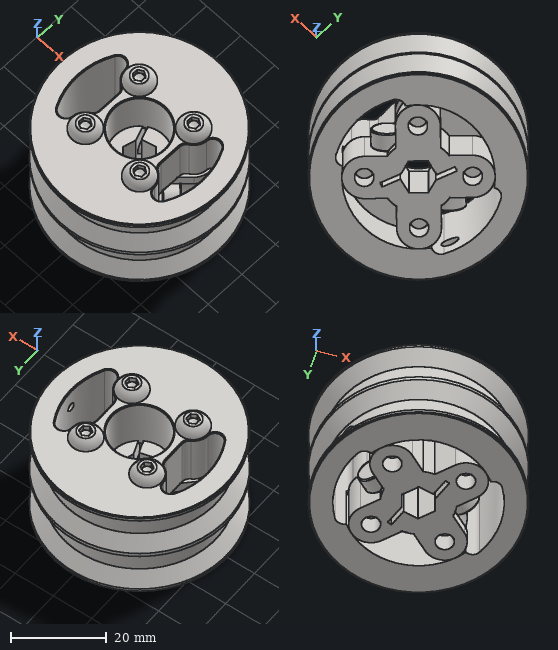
import cadquery as cq
import math

HEXAGON_CORNER_RATIO = 2 / math.sqrt(3)

RIM_RADIUS = 23.0
GROOVE_RADIUS = 20.0
RIM_WIDTH = 1.0
SPOOL_HEIGHT = 25.0
GROOVE_COUNT = 2
GROOVE_PITCH = (SPOOL_HEIGHT - RIM_WIDTH) / GROOVE_COUNT
FLANK_HEIGHT = RIM_RADIUS - GROOVE_RADIUS
GROOVE_FLAT = GROOVE_PITCH - RIM_WIDTH - 2 * FLANK_HEIGHT
EDGE_CHAMFER = 0.25
BORE_DIAMETER = 14.3

SCREW_OFFSET = 8.0
SCREW_CIRCLE = SCREW_OFFSET * math.sqrt(2)
SCREW_ANGLES = (45, 135, 225, 315)
SCREW_DIAMETER = 4.0
CLEARANCE_DIAMETER = 4.3
SCREW_LENGTH = 20.0
HEAD_DIAMETER = 7.6
HEAD_FLAT_DIAMETER = 4.05
HEAD_HEIGHT = 2.2
SOCKET_ACROSS_FLATS = 2.5
SOCKET_DEPTH = 1.3
SOCKET_CONE_DEPTH = 0.45

SLOT_OUTER_RADIUS = 17.9
SLOT_INNER_X = 8.95
SLOT_FILLET = 2.0
BOSS_RADIUS = 4.0

ACCESS_HOLE_DIAMETER = 3.6
SMALL_HOLE_DIAMETER = 2.0
SMALL_HOLE_Z = 19.5

HUB_HEIGHT = 11.95
ARM_RADIUS = 4.7
ARM_ANGLES = (45, 135)
HUB_CORE_RADIUS = 8.0
PILOT_DIAMETER = 14.0
PILOT_HEIGHT = 1.0
HEX_ACROSS_FLATS = 7.0
HEX_CORNER_DIAMETER = 8.0
HEX_CORNER_ANGLE = 15.0
SLIT_WIDTH = 1.0
SLIT_START_RADIUS = 4.05
SLIT_START_ANGLE = 135.0
SLIT_ANGLE = 111.0
SLIT_LENGTH = 4.15

CLAMP_OFFSET = 6.4
CLAMP_HEIGHT = HUB_HEIGHT / 2
CLAMP_SHANK_DIAMETER = 4.0
CLAMP_HEAD_DIAMETER = 7.0
CLAMP_HEAD_LENGTH = 4.0
CLAMP_HEAD_CHAMFER = 0.28
CLAMP_POCKET_DIAMETER = 7.25
CLAMP_ANGLE = SLIT_START_ANGLE + 90
CLAMP_SEAT = ARM_RADIUS

RECESS_RADIUS = SCREW_CIRCLE + ARM_RADIUS


def polar(radius, degrees, center=(0.0, 0.0)):
    angle = math.radians(degrees)
    return center[0] + radius * math.cos(angle), center[1] + radius * math.sin(angle)


def direction(start, end):
    return math.degrees(math.atan2(end[1] - start[1], end[0] - start[0]))


def screw_positions():
    return [polar(SCREW_CIRCLE, angle) for angle in SCREW_ANGLES]


def clamp_cylinder(diameter, start, end):
    """Cylinder on the axis of the -X clamp bolt, between two distances from the slit toward its head."""
    axis = cq.Vector(*polar(1, CLAMP_ANGLE))
    foot_x, foot_y = polar(CLAMP_OFFSET, CLAMP_ANGLE - 90)
    foot = cq.Vector(foot_x, foot_y, CLAMP_HEIGHT)
    return cq.Workplane(cq.Solid.makeCylinder(diameter / 2, end - start, foot + axis * start, axis))


def half_turn(body):
    return body.rotate((0, 0, 0), (0, 0, 1), 180)


def grooved_blank():
    profile = cq.Workplane("XZ").moveTo(0, 0).lineTo(RIM_RADIUS, 0)
    for index in range(GROOVE_COUNT):
        lower_rim = index * GROOVE_PITCH + RIM_WIDTH
        lower_flat = lower_rim + FLANK_HEIGHT
        upper_flat = lower_flat + GROOVE_FLAT
        profile = (
            profile.lineTo(RIM_RADIUS, lower_rim)
            .lineTo(GROOVE_RADIUS, lower_flat)
            .lineTo(GROOVE_RADIUS, upper_flat)
            .lineTo(RIM_RADIUS, upper_flat + FLANK_HEIGHT)
        )
    profile = profile.lineTo(RIM_RADIUS, SPOOL_HEIGHT).lineTo(0, SPOOL_HEIGHT).close()
    return profile.revolve(360, (0, 0), (0, 1))


def kidney_slot():
    """Slot on the +X side: every corner is tangent, and the inner wall bulges around the screws."""
    boss = (SCREW_OFFSET, SCREW_OFFSET)
    reach = BOSS_RADIUS + SLOT_FILLET

    end_distance = SLOT_OUTER_RADIUS - SLOT_FILLET
    cosine = (end_distance**2 + SCREW_CIRCLE**2 - reach**2) / (2 * end_distance * SCREW_CIRCLE)
    end_angle = 45 - math.degrees(math.acos(cosine))
    end = polar(end_distance, end_angle)

    inner_x = SLOT_INNER_X + SLOT_FILLET
    inner = (inner_x, SCREW_OFFSET - math.sqrt(reach**2 - (inner_x - SCREW_OFFSET) ** 2))

    end_to_boss = direction(end, boss) % 360
    boss_to_end = direction(boss, end)
    boss_to_inner = direction(boss, inner)
    inner_to_boss = direction(inner, boss)
    return (
        cq.Workplane("XY")
        .moveTo(SLOT_OUTER_RADIUS, 0)
        .threePointArc(polar(SLOT_OUTER_RADIUS, end_angle / 2), polar(SLOT_OUTER_RADIUS, end_angle))
        .threePointArc(
            polar(SLOT_FILLET, (end_angle + end_to_boss) / 2, end),
            polar(SLOT_FILLET, end_to_boss, end),
        )
        .threePointArc(
            polar(BOSS_RADIUS, (boss_to_end + boss_to_inner) / 2, boss),
            polar(BOSS_RADIUS, boss_to_inner, boss),
        )
        .threePointArc(
            polar(SLOT_FILLET, (inner_to_boss + 180) / 2, inner),
            (SLOT_INNER_X, inner[1]),
        )
        .lineTo(SLOT_INNER_X, 0)
        .mirrorX()
        .extrude(SPOOL_HEIGHT)
    )


def make_spool():
    spool = grooved_blank()
    spool = spool.cut(cq.Workplane("XY").circle(BORE_DIAMETER / 2).extrude(SPOOL_HEIGHT))
    slot = kidney_slot()
    spool = spool.cut(slot).cut(slot.mirror("YZ"))
    spool = spool.faces(">Z").chamfer(EDGE_CHAMFER)
    bottom_rim = cq.selectors.RadiusNthSelector(-1)
    spool = spool.faces("<Z").edges("%CIRCLE").edges(bottom_rim).chamfer(EDGE_CHAMFER)

    clearance = (
        cq.Workplane("XY").pushPoints(screw_positions()).circle(CLEARANCE_DIAMETER / 2).extrude(SPOOL_HEIGHT)
    )
    recess = cq.Workplane("XY").circle(RECESS_RADIUS).extrude(HUB_HEIGHT)
    spool = spool.cut(clearance).cut(recess)

    access_hole = clamp_cylinder(ACCESS_HOLE_DIAMETER, CLAMP_SEAT + CLAMP_HEAD_LENGTH, RIM_RADIUS)

    small_hole = (
        cq.Workplane("YZ", origin=(SLOT_INNER_X + SLOT_FILLET, 0, SMALL_HOLE_Z))
        .circle(SMALL_HOLE_DIAMETER / 2)
        .extrude(RIM_RADIUS - SLOT_INNER_X - SLOT_FILLET)
    )
    return spool.cut(access_hole).cut(small_hole)


def hex_bore():
    """Hexagonal bore with its corners trimmed by a cylinder."""
    length = HUB_HEIGHT + PILOT_HEIGHT
    corner_cylinder = cq.Workplane("XY").circle(HEX_CORNER_DIAMETER / 2).extrude(length)
    return (
        cq.Workplane("XY")
        .transformed(rotate=(0, 0, HEX_CORNER_ANGLE))
        .polygon(6, HEX_ACROSS_FLATS * HEXAGON_CORNER_RATIO)
        .extrude(length)
        .intersect(corner_cylinder)
    )


def slit_cutter():
    """Slit from one corner of the hexagonal bore into the arm."""
    start_x, start_y = polar(SLIT_START_RADIUS, SLIT_START_ANGLE)
    return (
        cq.Workplane("XY", origin=(start_x, start_y, 0))
        .transformed(rotate=(0, 0, SLIT_ANGLE))
        .rect(2 * SLIT_LENGTH, SLIT_WIDTH)
        .extrude(HUB_HEIGHT + PILOT_HEIGHT)
    )


def clamp_bolt():
    shank = clamp_cylinder(CLAMP_SHANK_DIAMETER, -CLAMP_SEAT, CLAMP_SEAT)
    head = clamp_cylinder(CLAMP_HEAD_DIAMETER, CLAMP_SEAT, CLAMP_SEAT + CLAMP_HEAD_LENGTH)
    head = head.faces("|(1, 1, 0)").chamfer(CLAMP_HEAD_CHAMFER)
    return shank.union(head)


def make_hub():
    hub = cq.Workplane("XY").circle(HUB_CORE_RADIUS).extrude(HUB_HEIGHT)
    for angle in ARM_ANGLES:
        arms = (
            cq.Workplane("XY")
            .transformed(rotate=(0, 0, angle))
            .slot2D(2 * (SCREW_CIRCLE + ARM_RADIUS), 2 * ARM_RADIUS)
            .extrude(HUB_HEIGHT)
        )
        hub = hub.union(arms)
    pilot = cq.Workplane("XY").circle(PILOT_DIAMETER / 2).extrude(HUB_HEIGHT + PILOT_HEIGHT)
    threads = cq.Workplane("XY").pushPoints(screw_positions()).circle(SCREW_DIAMETER / 2).extrude(HUB_HEIGHT)
    hub = hub.union(pilot).cut(hex_bore()).cut(threads)

    slit = slit_cutter()
    pocket = clamp_cylinder(CLAMP_POCKET_DIAMETER, CLAMP_SEAT, RECESS_RADIUS)
    bolt = clamp_bolt()
    hub = hub.cut(slit).cut(half_turn(slit))
    hub = hub.cut(pocket).cut(half_turn(pocket))
    return hub.union(bolt).union(half_turn(bolt))


def make_screw(x, y):
    base_radius = HEAD_DIAMETER / 2
    flat_radius = HEAD_FLAT_DIAMETER / 2
    drop = (base_radius**2 - flat_radius**2 - HEAD_HEIGHT**2) / (2 * HEAD_HEIGHT)
    dome_radius = math.hypot(base_radius, drop)
    mid_height = HEAD_HEIGHT / 2
    mid_radius = math.sqrt(dome_radius**2 - (mid_height + drop) ** 2)
    screw = (
        cq.Workplane("XZ")
        .moveTo(0, -SCREW_LENGTH)
        .lineTo(SCREW_DIAMETER / 2, -SCREW_LENGTH)
        .lineTo(SCREW_DIAMETER / 2, 0)
        .lineTo(base_radius, 0)
        .threePointArc((mid_radius, mid_height), (flat_radius, HEAD_HEIGHT))
        .lineTo(0, HEAD_HEIGHT)
        .close()
        .revolve(360, (0, 0), (0, 1))
    )

    socket_floor = HEAD_HEIGHT - SOCKET_DEPTH
    socket = (
        cq.Workplane("XY", origin=(0, 0, socket_floor))
        .transformed(rotate=(0, 0, 30))
        .polygon(6, SOCKET_ACROSS_FLATS * HEXAGON_CORNER_RATIO)
        .extrude(SOCKET_DEPTH)
    )
    cone = cq.Solid.makeCone(
        0, SOCKET_ACROSS_FLATS / 2, SOCKET_CONE_DEPTH, cq.Vector(0, 0, socket_floor - SOCKET_CONE_DEPTH)
    )
    return screw.cut(socket).cut(cq.Workplane(cone)).translate((x, y, SPOOL_HEIGHT))


spool = make_spool()
hub = make_hub()
screws = [make_screw(x, y) for x, y in screw_positions()]

result = cq.Compound.makeCompound([spool.val(), hub.val(), *(screw.val() for screw in screws)])